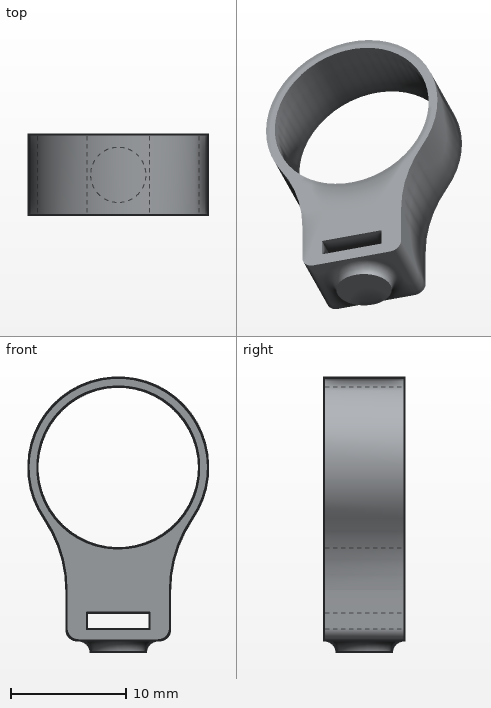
import math

import cadquery as cq

bore_diameter = 14.0
wall = 0.8
width = 7.0
ring_radius = bore_diameter / 2 + wall

shank_width = 9.0
shank_bottom = -15.0
corner_radius = 1.0
flank_radius = 11.0

slot_length = 5.4
slot_height = 1.4
slot_bottom = -14.0

foot_height = 1.0
foot_tip_radius = 2.4

half_shank = shank_width / 2


def make_body():
    """Ring disc and shank, joined by concave flanks tangent to both."""
    flank_x = half_shank + flank_radius
    centre_distance = ring_radius + flank_radius
    flank_z = -math.sqrt(centre_distance**2 - flank_x**2)
    ring_share = ring_radius / centre_distance
    ring_x = flank_x * ring_share
    ring_z = flank_z * ring_share

    half_angle = math.atan2(-flank_z, flank_x) / 2
    mid_x = flank_x - flank_radius * math.cos(half_angle)
    mid_z = flank_z + flank_radius * math.sin(half_angle)

    profile = (
        cq.Workplane("XZ", origin=(0, width / 2, 0))
        .moveTo(-half_shank, shank_bottom)
        .lineTo(half_shank, shank_bottom)
        .lineTo(half_shank, flank_z)
        .threePointArc((mid_x, mid_z), (ring_x, ring_z))
        .threePointArc((0, ring_radius), (-ring_x, ring_z))
        .threePointArc((-mid_x, mid_z), (-half_shank, flank_z))
        .close()
    )
    return profile.extrude(width).edges("|Y and <Z").fillet(corner_radius)


def make_bore():
    """Round bore through the ring along Y."""
    return cq.Workplane("XZ", origin=(0, width / 2, 0)).circle(bore_diameter / 2).extrude(width)


def make_slot():
    """Rectangular slot through the shank along Y."""
    return cq.Workplane("XY", origin=(0, 0, slot_bottom)).box(
        slot_length, width, slot_height, centered=(True, True, False)
    )


def make_foot():
    """Revolved foot, flared by a concave quarter arc from its tip to the shank."""
    foot_bottom = shank_bottom - foot_height
    root_radius = foot_tip_radius + foot_height
    arc_offset = foot_height * math.sqrt(0.5)
    return (
        cq.Workplane("XZ")
        .moveTo(0, foot_bottom)
        .lineTo(foot_tip_radius, foot_bottom)
        .threePointArc((root_radius - arc_offset, foot_bottom + arc_offset), (root_radius, shank_bottom))
        .lineTo(0, shank_bottom)
        .close()
        .revolve(360, (0, 0, 0), (0, 1, 0))
    )


result = make_body().union(make_foot()).cut(make_bore()).cut(make_slot())